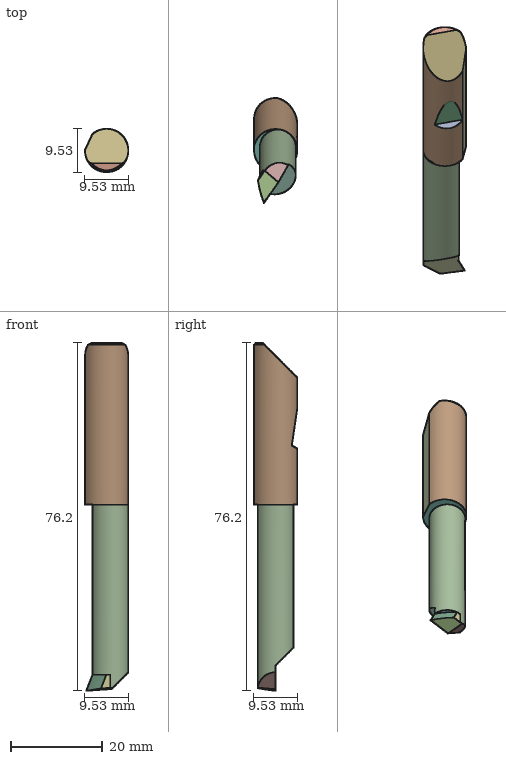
import cadquery as cq
import math

TOTAL_LENGTH = 76.19
SHANK_LENGTH = 35.4
SHANK_DIAMETER = 9.53
NECK_DIAMETER = 7.9
SHANK_RADIUS = SHANK_DIAMETER / 2
NECK_RADIUS = NECK_DIAMETER / 2
SHANK_BOTTOM = TOTAL_LENGTH - SHANK_LENGTH
NECK_X = SHANK_RADIUS - NECK_RADIUS
CUT_REACH = 2 * SHANK_DIAMETER

SIDE_FLAT_ANGLE = 25.0
SIDE_FLAT_DEPTH = 0.4
TOP_LAND_Y = -2.84
TOP_CHAMFER = 0.43
NOTCH_TOP_Z = 61.9
NOTCH_FLOOR_Z = 53.75
NOTCH_BOTTOM_Z = 53.05
NOTCH_DEPTH = 1.2

RAKE_FACE_LENGTH = 5.6
HEAD_HEIGHT = 3.5
TIP_X = -4.5
HEAD_FRONT_Y = -3.9
FLANK_RELIEF_ANGLE = 38.0
FLANK_BULGE = 0.15
END_RELIEF_ANGLE = 5.0
END_EDGE_ANGLE = 4.0
NOSE_BEVEL_TOP_Z = 4.1


def make_bar():
    shank = cq.Workplane("XY", origin=(0, 0, SHANK_BOTTOM)).circle(SHANK_RADIUS).extrude(SHANK_LENGTH)
    shank = shank.faces(">Z").edges().chamfer(TOP_CHAMFER)
    neck = (
        cq.Workplane("XY", origin=(NECK_X, 0, HEAD_HEIGHT))
        .circle(NECK_RADIUS)
        .extrude(SHANK_BOTTOM - HEAD_HEIGHT)
    )
    return shank.union(neck)


def prism_along_x(points):
    """Extrude a (y, z) outline right across the bar."""
    return cq.Workplane("YZ").polyline(points).close().extrude(CUT_REACH, both=True)


def side_flat_cutter():
    """Flat along the whole shank, facing -X and partly +Y."""
    cutter = (
        cq.Workplane("XY", origin=(0, 0, SHANK_BOTTOM))
        .box(SHANK_DIAMETER, SHANK_DIAMETER, SHANK_LENGTH, centered=(True, True, False))
        .translate((SIDE_FLAT_DEPTH - SHANK_DIAMETER, 0, 0))
    )
    return cutter.rotate((0, 0, 0), (0, 0, 1), -SIDE_FLAT_ANGLE)


def top_bevel_cutter():
    return prism_along_x([
        (TOP_LAND_Y, TOTAL_LENGTH),
        (TOP_LAND_Y + CUT_REACH, TOTAL_LENGTH - CUT_REACH),
        (TOP_LAND_Y + CUT_REACH, TOTAL_LENGTH),
    ])


def notch_cutter():
    """Shallow clamping notch on the +Y side with a long sloping floor."""
    floor_y = SHANK_RADIUS - NOTCH_DEPTH
    return prism_along_x([
        (SHANK_RADIUS, NOTCH_TOP_Z),
        (floor_y, NOTCH_FLOOR_Z),
        (SHANK_RADIUS, NOTCH_BOTTOM_Z),
    ])


def rake_face_cutter():
    """Clear the +Y half of the end and bevel back up to the full neck."""
    return prism_along_x([
        (0, 0),
        (0, RAKE_FACE_LENGTH),
        (SHANK_DIAMETER, RAKE_FACE_LENGTH + SHANK_DIAMETER),
        (SHANK_DIAMETER, 0),
    ])


def nose_bevel_cutter():
    bevel_x = SHANK_RADIUS - NOSE_BEVEL_TOP_Z
    return (
        cq.Workplane("XZ")
        .polyline([
            (bevel_x - CUT_REACH, -CUT_REACH),
            (SHANK_RADIUS + CUT_REACH, NOSE_BEVEL_TOP_Z + CUT_REACH),
            (SHANK_RADIUS + CUT_REACH, -CUT_REACH),
        ])
        .close()
        .extrude(CUT_REACH, both=True)
    )


def make_head():
    """Cutting head: slanted convex flank on the -X side, round like the neck on +X."""
    neck_left_x = NECK_X - NECK_RADIUS
    flank_run = -HEAD_FRONT_Y * math.tan(math.radians(FLANK_RELIEF_ANGLE))

    relief = math.radians(FLANK_RELIEF_ANGLE)
    bulge_x = flank_run / 2 - FLANK_BULGE * math.cos(relief)
    bulge_y = HEAD_FRONT_Y / 2 - FLANK_BULGE * math.sin(relief)

    def outline(left_x, z):
        return (
            cq.Workplane("XY", origin=(0, 0, z))
            .moveTo(left_x, 0)
            .threePointArc((left_x + bulge_x, bulge_y), (left_x + flank_run, HEAD_FRONT_Y))
            .lineTo(NECK_X, HEAD_FRONT_Y)
            .lineTo(NECK_X, 0)
            .close()
            .val()
        )

    block = cq.Workplane(
        cq.Solid.makeLoft([outline(TIP_X, 0), outline(neck_left_x, HEAD_HEIGHT)], True)
    )
    quarter = (
        cq.Workplane("XY", origin=(NECK_X, -NECK_RADIUS, 0))
        .box(NECK_RADIUS, NECK_RADIUS, HEAD_HEIGHT, centered=False)
    )
    round_side = cq.Workplane("XY", origin=(NECK_X, 0, 0)).circle(NECK_RADIUS).extrude(HEAD_HEIGHT)
    round_side = round_side.intersect(quarter)
    return block.union(round_side)


def end_flank_cutter():
    """Remove everything below the end flank, a plane through the tip."""
    cutter = cq.Workplane("XY").box(2 * CUT_REACH, 2 * CUT_REACH, CUT_REACH, centered=(True, True, False))
    return (
        cutter.translate((0, 0, -CUT_REACH))
        .rotate((0, 0, 0), (1, 0, 0), -END_RELIEF_ANGLE)
        .rotate((0, 0, 0), (0, 1, 0), -END_EDGE_ANGLE)
        .translate((TIP_X, 0, 0))
    )


bar = make_bar().cut(side_flat_cutter()).cut(top_bevel_cutter()).cut(notch_cutter())
bar = bar.cut(rake_face_cutter())
head = make_head().cut(end_flank_cutter())
result = bar.union(head).cut(nose_bevel_cutter())